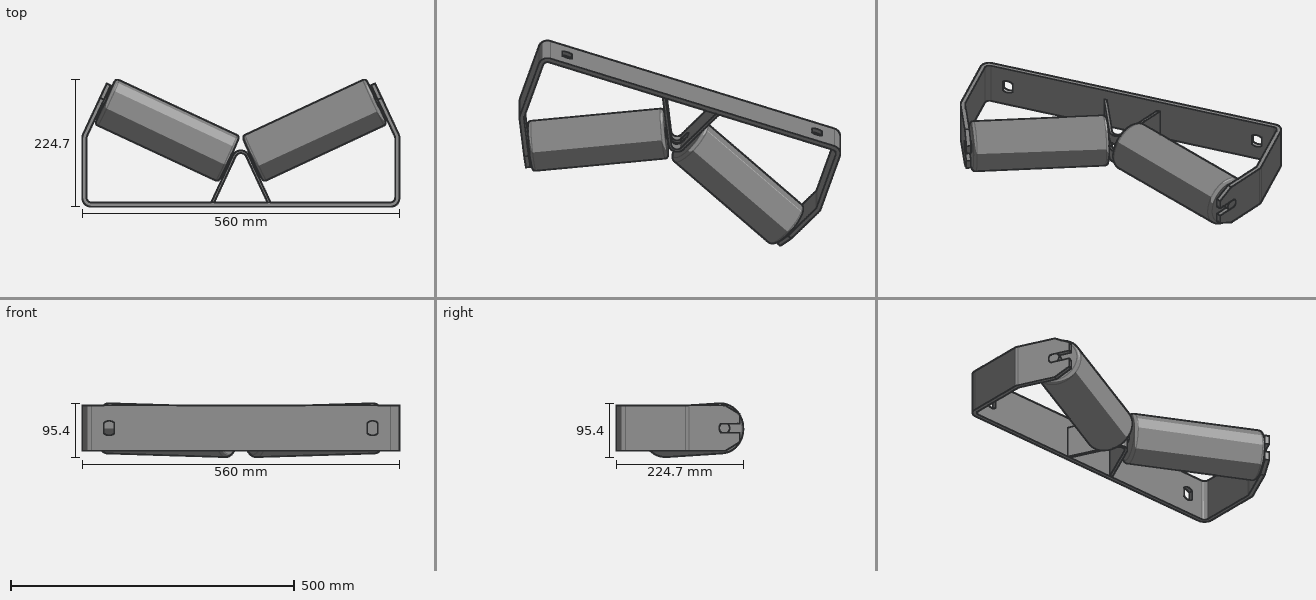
import cadquery as cq
import math

frame_length = 560.0
strap_height = 80.0
strap_thickness = 8.0
bend_radius = 2 * strap_thickness
arm_bend_y = 121.5
arm_top_y = 218.0
arm_chamfer_along = 28.0
arm_chamfer_z = 15.0
mount_hole_spacing = 465.0
mount_hole_width = 18.5
mount_hole_height = 26.0

lean = math.radians(25)
dip = math.radians(1.6)
roller_diameter = 89.0
roller_length = 241.0
roller_edge_radius = 5.5
roller_gap = 3.5
shaft_diameter = 20.0
shaft_flat_height = 16.0
shaft_y = 191.0

bracket_thickness = 5.0
bracket_height = 60.0
bracket_top_y = 99.5
bracket_bend_radius = 15.0

half_length = frame_length / 2
sin_lean = math.sin(lean)
cos_lean = math.cos(lean)
tan_lean = math.tan(lean)
arm_start_x = half_length - bend_radius * (1 - cos_lean)
arm_start_y = arm_bend_y + bend_radius * sin_lean
arm_length = (arm_top_y - arm_start_y) / cos_lean
shaft_x = arm_start_x - (shaft_y - arm_start_y) * tan_lean
bracket_bend_y = bracket_top_y - bracket_bend_radius

leg_inner_offset = bracket_bend_y * -sin_lean - (bracket_bend_radius - bracket_thickness)
arm_outer_offset = -shaft_x * cos_lean - shaft_y * sin_lean
shaft_span = leg_inner_offset - arm_outer_offset

axis_direction = cq.Vector(
    cos_lean * math.cos(dip), -sin_lean * math.cos(dip), -math.sin(dip)
)
cross_direction = cq.Vector(-sin_lean, -cos_lean, 0)
axis_start = cq.Vector(-shaft_x, shaft_y, 0)


def mirrored(body):
    """The same body on the other side of the YZ plane."""
    return body.mirror("YZ")


def axis_plane(distance):
    """Plane square to the left roller axis, at a distance from the arm outer face."""
    return cq.Plane(axis_start + axis_direction * distance, cross_direction, axis_direction)


def bent_outline(inset):
    """Right half of the frame outline from base to arm tip, offset inward by an inset."""
    radius = bend_radius - inset
    side_x = half_length - inset
    corner_x = half_length - bend_radius
    diagonal = radius * math.sqrt(0.5)
    half_lean = lean / 2
    arm_x = corner_x + radius * cos_lean
    arm_y = arm_bend_y + radius * sin_lean
    return {
        "base": (0, inset),
        "corner_start": (corner_x, inset),
        "corner_mid": (corner_x + diagonal, bend_radius - diagonal),
        "corner_end": (side_x, bend_radius),
        "bend_start": (side_x, arm_bend_y),
        "bend_mid": (corner_x + radius * math.cos(half_lean), arm_bend_y + radius * math.sin(half_lean)),
        "bend_end": (arm_x, arm_y),
        "tip": (arm_x - arm_length * sin_lean, arm_y + arm_length * cos_lean),
    }


def half_strap():
    """Right half of the bent bar, with a plain square arm tip."""
    outer = bent_outline(0)
    inner = bent_outline(strap_thickness)
    return (
        cq.Workplane("XY", origin=(0, 0, -strap_height / 2))
        .moveTo(*outer["base"])
        .lineTo(*outer["corner_start"])
        .threePointArc(outer["corner_mid"], outer["corner_end"])
        .lineTo(*outer["bend_start"])
        .threePointArc(outer["bend_mid"], outer["bend_end"])
        .lineTo(*outer["tip"])
        .lineTo(*inner["tip"])
        .lineTo(*inner["bend_end"])
        .threePointArc(inner["bend_mid"], inner["bend_start"])
        .lineTo(*inner["corner_end"])
        .threePointArc(inner["corner_mid"], inner["corner_start"])
        .lineTo(*inner["base"])
        .close()
        .extrude(strap_height)
    )


def arm_tip_corners():
    """Wedges that cut the upper and lower corners off the right arm tip."""
    tip_x, tip_y = bent_outline(0)["tip"]
    arm_plane = cq.Plane((tip_x, tip_y, 0), (-sin_lean, cos_lean, 0), (-cos_lean, -sin_lean, 0))
    wedges = cq.Workplane("XY")
    for side in (-1, 1):
        edge = side * strap_height / 2
        wedge = (
            cq.Workplane(arm_plane)
            .polyline([(0, edge), (-arm_chamfer_along, edge), (0, edge - side * arm_chamfer_z)])
            .close()
            .extrude(strap_thickness)
        )
        wedges = wedges.add(wedge)
    return wedges.combine()


def flatted_bar(start, length):
    """Round bar along the left roller axis with flats above and below."""
    flats = cq.Workplane(axis_plane(start)).rect(shaft_diameter, shaft_flat_height).extrude(length)
    return cq.Workplane(axis_plane(start)).circle(shaft_diameter / 2).extrude(length).intersect(flats)


def make_shaft():
    """Left shaft, its ends cut upright to lie flush with the arm and the bracket leg."""
    upright_plane = cq.Plane(axis_start, cross_direction, (cos_lean, -sin_lean, 0))
    span = cq.Workplane(upright_plane).rect(strap_height, strap_height).extrude(shaft_span)
    return flatted_bar(-strap_thickness, shaft_span + 2 * strap_thickness).intersect(span)


def make_frame():
    frame_half = half_strap().cut(arm_tip_corners())
    frame = frame_half.union(mirrored(frame_half))

    mount_centers = [(-mount_hole_spacing / 2, 0), (mount_hole_spacing / 2, 0)]
    hole_plane = cq.Workplane("XZ").pushPoints(mount_centers)
    hole_flats = hole_plane.rect(mount_hole_width, mount_hole_height).extrude(-strap_thickness)
    mount_holes = hole_plane.circle(mount_hole_height / 2).extrude(-strap_thickness).intersect(hole_flats)
    frame = frame.cut(mount_holes)

    cut_start = -strap_thickness
    cut_length = 3 * strap_thickness
    opening = (
        cq.Workplane(axis_plane(cut_start))
        .center(-arm_length / 2, 0)
        .rect(arm_length, shaft_flat_height)
        .extrude(cut_length)
    )
    shaft_slot = opening.union(flatted_bar(cut_start, cut_length))
    return frame.cut(shaft_slot).cut(mirrored(shaft_slot))


def bracket_half_profile(inset):
    """Left foot, bend start and bend top of the bracket, offset inward by an inset."""
    radius = bracket_bend_radius - inset
    bend_x = -radius * cos_lean
    bend_y = bracket_bend_y + radius * sin_lean
    foot_x = bend_x - (bend_y - strap_thickness) * tan_lean
    return (foot_x, strap_thickness), (bend_x, bend_y), (0, bracket_bend_y + radius)


def make_bracket():
    foot, bend, top = bracket_half_profile(0)
    inner_foot, inner_bend, inner_top = bracket_half_profile(bracket_thickness)
    strip = (
        cq.Workplane("XY", origin=(0, 0, -strap_height / 2))
        .moveTo(*foot)
        .lineTo(*bend)
        .threePointArc(top, (-bend[0], bend[1]))
        .lineTo(-foot[0], foot[1])
        .lineTo(-inner_foot[0], inner_foot[1])
        .lineTo(-inner_bend[0], inner_bend[1])
        .threePointArc(inner_top, inner_bend)
        .lineTo(*inner_foot)
        .close()
        .extrude(bracket_height)
    )

    end = axis_start + axis_direction * (shaft_span / math.cos(dip))
    slot_depth = bracket_top_y - end.y
    slot = (
        cq.Workplane("XY")
        .box(-2 * end.x, slot_depth, shaft_flat_height)
        .translate((0, end.y + slot_depth / 2, end.z))
    )
    cutter = slot.union(make_shaft()).union(mirrored(make_shaft()))
    return strip.cut(cutter)


def make_roller():
    """Left roller with its shaft, flush with the arm and with the inside of the bracket."""
    barrel = (
        cq.Workplane(axis_plane(strap_thickness + roller_gap))
        .circle(roller_diameter / 2)
        .extrude(roller_length)
        .edges("%CIRCLE")
        .fillet(roller_edge_radius)
    )
    return barrel.union(make_shaft())


frame = make_frame()
bracket = make_bracket()
left_roller = make_roller()
rollers = [left_roller, mirrored(left_roller)]

result = cq.Compound.makeCompound([frame.val(), bracket.val(), *[roller.val() for roller in rollers]])